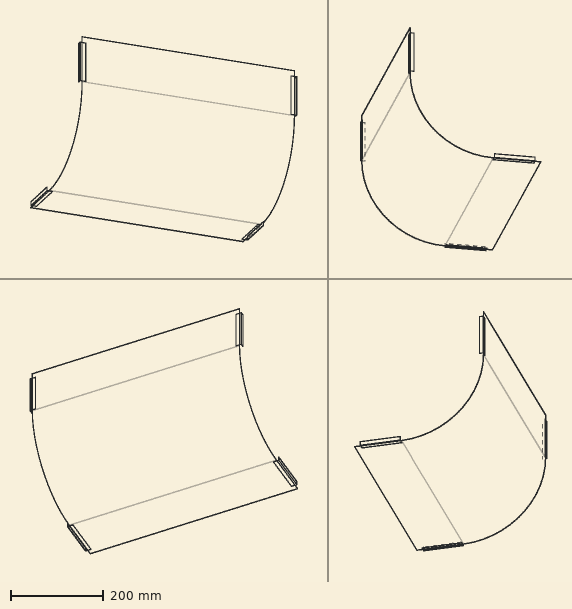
import cadquery as cq
import math

overall_width = 508.0
overall_depth = 290.5

sheet_thickness = 1.0
flat_length = 105.0

bracket_thickness = 0.75
bracket_length = 90.0
bracket_base_width = 13.0
bracket_lip_height = 9.0
lip_clearance = 4.3
bracket_end_offset = 13.5

sheet_width = overall_width - 2 * (bracket_thickness + lip_clearance)
half_width = overall_width / 2
outer_limit = overall_depth / 2

free_end = outer_limit
sheet_outer = outer_limit - bracket_thickness
sheet_inner = sheet_outer - sheet_thickness
bend_start = free_end - flat_length
outer_radius = sheet_outer + bend_start
inner_radius = outer_radius - sheet_thickness
bend_y = -bend_start
bend_z = bend_start


def bend_midpoint(radius):
    """Point halfway round the bend, towards +Y and -Z."""
    reach = radius * math.sqrt(0.5)
    return bend_y + reach, bend_z - reach


def make_sheet():
    return (
        cq.Workplane("YZ")
        .moveTo(sheet_outer, free_end)
        .lineTo(sheet_outer, bend_z)
        .threePointArc(bend_midpoint(outer_radius), (bend_y, -sheet_outer))
        .lineTo(-free_end, -sheet_outer)
        .lineTo(-free_end, -sheet_inner)
        .lineTo(bend_y, -sheet_inner)
        .threePointArc(bend_midpoint(inner_radius), (sheet_inner, bend_z))
        .lineTo(sheet_inner, free_end)
        .close()
        .extrude(sheet_width / 2, both=True)
    )


def make_back_bracket(side):
    """L-section behind the back flat, its lip pointing to -Y; side is -1 or +1 along X."""
    outer_x = side * half_width
    lip_x = side * (half_width - bracket_thickness)
    base_x = side * (half_width - bracket_base_width)
    top = free_end - bracket_end_offset
    return (
        cq.Workplane("XY", origin=(0, 0, top - bracket_length))
        .moveTo(base_x, outer_limit)
        .lineTo(outer_x, outer_limit)
        .lineTo(outer_x, outer_limit - bracket_lip_height)
        .lineTo(lip_x, outer_limit - bracket_lip_height)
        .lineTo(lip_x, sheet_outer)
        .lineTo(base_x, sheet_outer)
        .close()
        .extrude(bracket_length)
    )


def make_bottom_bracket(side):
    """Matching bracket under the bottom flat, mirrored in the plane that halves the bend."""
    mirror_normal = cq.Vector(0, 1, 1)
    return make_back_bracket(side).mirror(mirror_normal, (0, 0, 0))


sheet = make_sheet()

brackets = []
for side in (-1, 1):
    brackets.append(make_back_bracket(side).val())
    brackets.append(make_bottom_bracket(side).val())

result = cq.Compound.makeCompound([sheet.val(), *brackets])